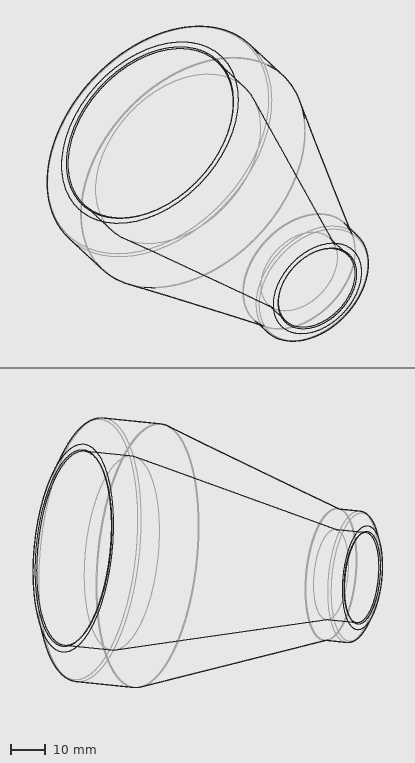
import cadquery as cq

length = 90.0
large_diameter = 76.1
small_diameter = 38.0
large_bore = 56.1
small_bore = 26.0
cone_start = 23.1
cone_end = 80.2

bore_cone_start = 15.1
bore_cone_end = cone_end

land_width = 2.0
bevel_ratio = 3 ** -0.5
edge_radius = 1.0
mouth_chamfer = 0.4

large_radius = large_diameter / 2
small_radius = small_diameter / 2
large_bore_radius = large_bore / 2
small_bore_radius = small_bore / 2
large_face_radius = large_bore_radius + land_width
small_face_radius = small_bore_radius + land_width
large_bevel = (large_radius - large_face_radius) * bevel_ratio
small_bevel = (small_radius - small_face_radius) * bevel_ratio


def revolve_profile(points):
    """Solid of revolution about X from (axial position, radius) points."""
    profile = cq.Workplane("XY").polyline(points).close()
    return profile.revolve(360, (0, 0, 0), (1, 0, 0))


def circle_edges(body, radius):
    """Outer circular edges of the given radius."""
    return body.edges("%CIRCLE").filter(lambda edge: abs(edge.radius() - radius) < 0.001)


def make_outer_body():
    body = revolve_profile([
        (0, 0),
        (0, large_face_radius),
        (large_bevel, large_radius),
        (cone_start, large_radius),
        (cone_end, small_radius),
        (length - small_bevel, small_radius),
        (length, small_face_radius),
        (length, 0),
    ])
    body = circle_edges(body, large_radius).fillet(edge_radius)
    return circle_edges(body, small_radius).fillet(edge_radius)


def make_bore():
    return revolve_profile([
        (0, 0),
        (0, large_bore_radius + mouth_chamfer),
        (mouth_chamfer, large_bore_radius),
        (bore_cone_start, large_bore_radius),
        (bore_cone_end, small_bore_radius),
        (length - mouth_chamfer, small_bore_radius),
        (length, small_bore_radius + mouth_chamfer),
        (length, 0),
    ])


result = make_outer_body().cut(make_bore())